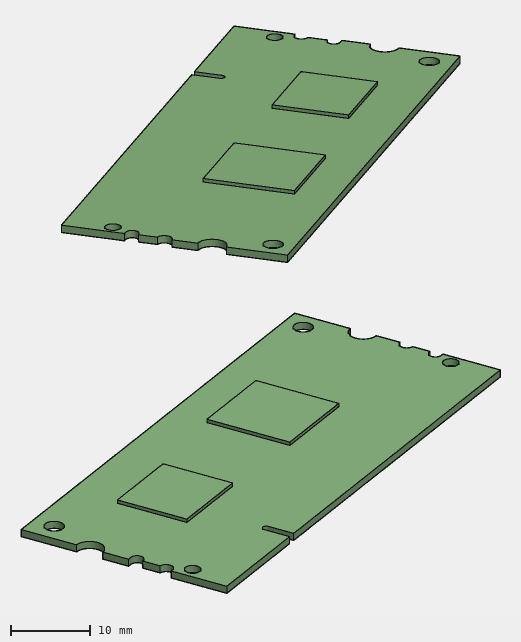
import cadquery as cq

width = 30.0
length = 67.6
board_thickness = 1.0
chip_height = 0.5

mounting_holes = [
    (6.0, length - 1.75, 2.1),
    (26.9, length - 2.9, 2.6),
    (6.35, 1.5, 2.1),
    (27.2, 2.7, 2.6),
]

large_notch = (20.0, 0.0, 1.9)
back_notches = [(9.05, 0.35, 0.95), (13.45, 0.6, 0.9), large_notch]
front_notches = [(9.25, 0.4, 0.9), (13.65, 0.0, 1.0), large_notch]

back_step_depth = 0.5
front_step_depth = 0.2

slot_width = 1.0
slot_depth = 4.2
slot_y = length - 16.0

chips = [
    (13.05, 44.1, 10.15, 11.3),
    (12.45, 18.85, 12.1, 12.1),
]


def block(x, y, size_x, size_y, height, base=0.0):
    """Box placed by its lowest corner."""
    return cq.Workplane("XY").box(size_x, size_y, height, centered=False).translate((x, y, base))


def disc(x, y, radius):
    """Round cutter through the board thickness."""
    return cq.Workplane("XY").center(x, y).circle(radius).extrude(board_thickness)


def front_edge_cutter(notches, step_depth):
    """Notches along the front edge, with a step between the first two."""
    first_x = notches[0][0]
    second_x = notches[1][0]
    cutter = block(first_x, 0, second_x - first_x, step_depth, board_thickness)
    for x, inset, radius in notches:
        cutter = cutter.union(disc(x, inset, radius))
        if inset > 0:
            cutter = cutter.union(block(x - radius, 0, 2 * radius, inset, board_thickness))
    return cutter


def back_edge_cutter(notches, step_depth):
    """The same kind of cutter mirrored onto the back edge."""
    return front_edge_cutter(notches, step_depth).mirror("XZ").translate((0, length, 0))


def slot_cutter():
    """Slot open at the left edge, rounded at its inner end."""
    radius = slot_width / 2
    end_x = slot_depth - radius
    straight = block(0, slot_y - radius, end_x, slot_width, board_thickness)
    return straight.union(disc(end_x, slot_y, radius))


board = block(0, 0, width, length, board_thickness)
board = board.cut(front_edge_cutter(front_notches, front_step_depth))
board = board.cut(back_edge_cutter(back_notches, back_step_depth))
board = board.cut(slot_cutter())
for hole_x, hole_y, diameter in mounting_holes:
    board = board.cut(disc(hole_x, hole_y, diameter / 2))

result = board
for chip_x, chip_y, size_x, size_y in chips:
    result = result.union(block(chip_x, chip_y, size_x, size_y, chip_height, board_thickness))